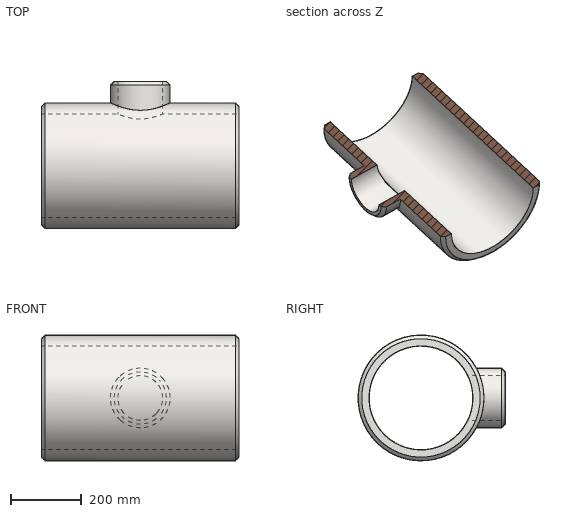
import cadquery as cq

run_length = 559.0
run_diameter = 356.0
run_bore = 293.0

branch_reach = 238.5
branch_diameter = 169.0
branch_bore = 126.5

bevel = 10.5


def run_body():
    """Solid main cylinder, bevelled at both ends and centred on the origin."""
    cylinder = cq.Workplane("YZ").circle(run_diameter / 2).extrude(run_length / 2, both=True)
    return cylinder.faces("<X or >X").chamfer(bevel)


def branch_body():
    """Solid branch from the run axis to its bevelled end, as a revolved half section."""
    radius = branch_diameter / 2
    return (
        cq.Workplane("XY")
        .lineTo(radius, 0)
        .lineTo(radius, branch_reach - bevel)
        .lineTo(radius - bevel, branch_reach)
        .lineTo(0, branch_reach)
        .close()
        .revolve(360, (0, 0, 0), (0, 1, 0))
    )


run_hole = cq.Workplane("YZ").circle(run_bore / 2).extrude(run_length / 2, both=True)
branch_hole = cq.Workplane("XZ").circle(branch_bore / 2).extrude(-branch_reach)

result = run_body().union(branch_body()).cut(run_hole).cut(branch_hole)